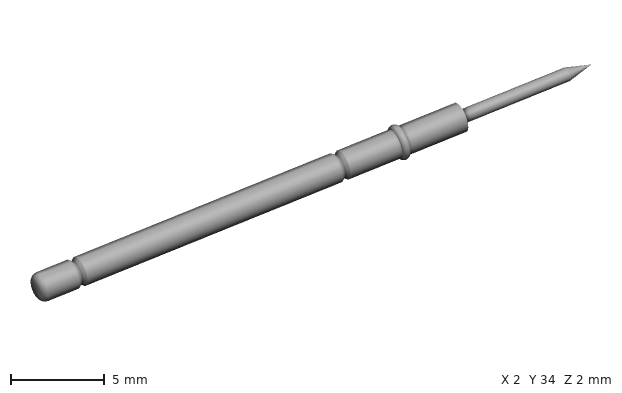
import cadquery as cq

total_length = 34.0
tip_length = 1.5
plunger_length = 8.0
plunger_diameter = 0.78
barrel_diameter = 1.65
end_round_radius = 0.45

collar_diameter = 2.0
collar_width = 0.5
collar_from_shoulder = 3.77

groove_depth = 0.17
groove_width = 0.45
front_groove_from_shoulder = 7.4
rear_groove_from_end = 2.5

plunger_radius = plunger_diameter / 2
barrel_radius = barrel_diameter / 2
collar_radius = collar_diameter / 2

shoulder_y = total_length - plunger_length
collar_y = shoulder_y - collar_from_shoulder
groove_positions = [rear_groove_from_end, shoulder_y - front_groove_from_shoulder]


def revolve_about_y(profile):
    """Turn a closed half profile in the XY plane all the way round the Y axis."""
    return profile.close().revolve(360, (0, 0, 0), (0, 1, 0))


def make_barrel():
    """Plain cylinder with a rounded rear end."""
    barrel = cq.Workplane("XZ").circle(barrel_radius).extrude(-shoulder_y)
    return barrel.faces("<Y").edges().fillet(end_round_radius)


def make_plunger():
    """Thin rod ending in a sharp conical point."""
    profile = (
        cq.Workplane("XY")
        .moveTo(0, shoulder_y)
        .lineTo(plunger_radius, shoulder_y)
        .lineTo(plunger_radius, total_length - tip_length)
        .lineTo(0, total_length)
    )
    return revolve_about_y(profile)


def make_collar():
    """Ring with an arched outer surface that bulges from the barrel."""
    profile = (
        cq.Workplane("XY")
        .moveTo(0, collar_y - collar_width / 2)
        .lineTo(barrel_radius, collar_y - collar_width / 2)
        .threePointArc((collar_radius, collar_y), (barrel_radius, collar_y + collar_width / 2))
        .lineTo(0, collar_y + collar_width / 2)
    )
    return revolve_about_y(profile)


def make_groove_cutter(groove_y):
    """Ring with a V profile; its edge reaches the bottom of the groove."""
    profile = (
        cq.Workplane("XY")
        .moveTo(barrel_radius - groove_depth, groove_y)
        .lineTo(barrel_radius, groove_y + groove_width / 2)
        .lineTo(barrel_radius + groove_depth, groove_y + groove_width / 2)
        .lineTo(barrel_radius + groove_depth, groove_y - groove_width / 2)
        .lineTo(barrel_radius, groove_y - groove_width / 2)
    )
    return revolve_about_y(profile)


result = make_barrel().union(make_plunger()).union(make_collar())
for position in groove_positions:
    result = result.cut(make_groove_cutter(position))